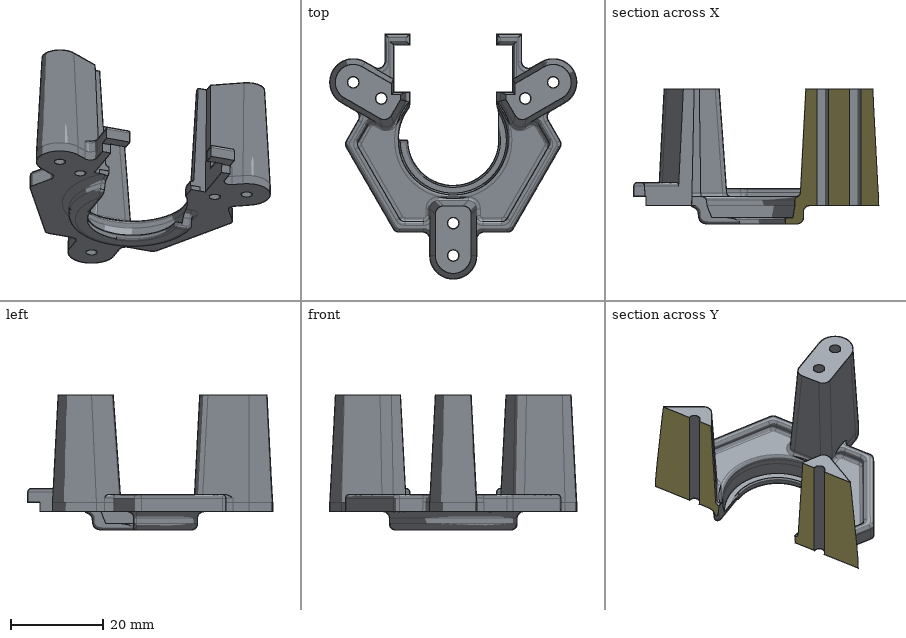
import cadquery as cq
import math

floor_z = 2.0
rim_z = 3.7
post_top_z = 25.26
round_radius = 0.8

post_angles = (30, 150, 270)
hole_distances = (18.0, 25.0)
hole_diameter = 2.4
post_half_width = 5.105
post_inner_end = 13.05
post_corner_radius = 1.8
draft_angle = 3.0

post_side_distance = 19.95
plain_side_distance = 20.85
plate_corner_radius = 1.5
rim_width = 2.26
gusset_radius = 1.5
pocket_corner_radius = 1.4
inner_gusset_radius = 1.4

bowl_bottom_z = -4.0
lip_top_z = -2.6
bowl_outer_radius = 13.85
bowl_inner_radius = 11.9
bowl_base_radius = 11.5
lip_inner_radius = 9.85
bowl_flange_radius = 15.6
bowl_flange_thickness = 1.0
bowl_round_radius = 1.4
bowl_end_radius = 0.6
bowl_tip_radius = 0.55
lip_round_radius = 0.4

slot_half_width = 9.4
slot_low_half_width = 9.9
notch_half_width = 12.85
notch_start_y = 10.4
notch_end_y = 20.5
notch_draft = 1.2

arm_thickness = 1.95
arm_top_z = 5.0
arm_start_y = 12.0
arm_end_y = 22.955
step_y = 20.3
arm_root_x = 19.0
arm_gusset_radius = 1.5

far = 60.0
near_edge = 0.2
flat = 0.01


def box(x_range, y_range, z_range):
    """Axis-aligned box between the given limits."""
    size = [high - low for low, high in (x_range, y_range, z_range)]
    return cq.Workplane("XY").box(*size, centered=False).translate(
        (x_range[0], y_range[0], z_range[0])
    )


def truncated_triangle(inset, z_low, z_high):
    """Six-sided prism whose edges alternate between the two side distances."""
    sides = []
    for index in range(6):
        distance = plain_side_distance if index % 2 else post_side_distance
        sides.append((math.radians(30 + 60 * index), distance - inset))
    points = []
    for index in range(6):
        angle_a, distance_a = sides[index - 1]
        angle_b, distance_b = sides[index]
        turn = math.sin(angle_b - angle_a)
        x = (distance_a * math.sin(angle_b) - distance_b * math.sin(angle_a)) / turn
        y = (distance_b * math.cos(angle_a) - distance_a * math.cos(angle_b)) / turn
        points.append((x, y))
    return cq.Workplane("XY").workplane(offset=z_low).polyline(points).close().extrude(z_high - z_low)


def post_outline(plane):
    """Post section along +X: flat inner end, round outer end."""
    outer_center = hole_distances[1]
    return (
        plane.moveTo(post_inner_end, -post_half_width)
        .lineTo(outer_center, -post_half_width)
        .threePointArc((outer_center + post_half_width, 0), (outer_center, post_half_width))
        .lineTo(post_inner_end, post_half_width)
        .close()
    )


def make_post(angle):
    """Straight foot with a drafted column above, rounded at its inner corners."""
    foot = post_outline(cq.Workplane("XY")).extrude(floor_z)
    column = post_outline(cq.Workplane("XY").workplane(offset=floor_z)).extrude(
        post_top_z - floor_z, taper=draft_angle
    )
    inner_corners = cq.selectors.BoxSelector(
        (post_inner_end - post_corner_radius, -far, 0),
        (post_inner_end + post_corner_radius, far, far),
    )
    column = column.edges("not #Z").edges(inner_corners).fillet(post_corner_radius)
    return foot.union(column).rotate((0, 0, 0), (0, 0, 1), angle)


def lower_part(posts, height):
    """Stretch of the posts up to the given height."""
    return posts.intersect(box((-far, far), (-far, far), (0, height)))


def make_plate():
    """Flat plate with a raised rim along its outer edge, open towards +Y."""
    plate = truncated_triangle(0, 0, rim_z).edges("|Z").fillet(plate_corner_radius)
    pocket = truncated_triangle(rim_width, floor_z, far).edges("|Z").fillet(pocket_corner_radius)
    plate = plate.cut(pocket)
    return plate.cut(box((-far, far), (notch_start_y, far), (0, far)))


def post_clearance():
    """Wedge that trims the column sides facing the slot with the common draft."""
    low = slot_half_width + round_radius
    high = low + (post_top_z - floor_z) * math.tan(math.radians(draft_angle))
    section = [(-low, floor_z), (low, floor_z), (high, post_top_z), (-high, post_top_z)]
    return cq.Workplane("XZ").polyline(section).close().extrude(-far)


def make_arms():
    """Two arms towards +Y whose ends turn inwards as raised hooks."""
    outer_x = notch_half_width + arm_thickness
    arms = box((-outer_x, outer_x), (arm_start_y, arm_end_y), (0, arm_top_z))
    under_hook = box((-far, far), (step_y, far), (0, floor_z))
    between_hooks = box((-slot_half_width, slot_half_width), (0, far), (0, far))
    return arms.cut(under_hook).cut(between_hooks)


def make_notch():
    """Rectangular opening between the arms, widening upwards."""
    growth = 2 * post_top_z * math.tan(math.radians(notch_draft))
    width = 2 * notch_half_width
    length = notch_end_y - notch_start_y
    return (
        cq.Workplane("XY")
        .center(0, (notch_start_y + notch_end_y) / 2)
        .rect(width, length)
        .workplane(offset=post_top_z)
        .rect(width + growth, length + growth)
        .loft()
    )


def edges_where(body, test):
    """Edges of the body that pass the test, as a selection on the body."""
    return body.newObject([edge for edge in body.edges().vals() if test(edge)])


def is_level_at(edge, z):
    """True for an edge lying in the horizontal plane at height z."""
    bounds = edge.BoundingBox()
    return abs(bounds.zmin - z) < flat and abs(bounds.zmax - z) < flat


def is_near(edge, points):
    """True when the edge's middle is close to one of the plan positions."""
    middle = edge.Center()
    return any(math.hypot(middle.x - x, middle.y - y) < near_edge for x, y in points)


def rim_meets_posts(distance):
    """Plan positions where a rim side at this distance meets the post flanks."""
    points = []
    for angle, sides in zip(post_angles, ((-1,), (1,), (-1, 1))):
        turn = math.radians(angle)
        for side in sides:
            offset = side * post_half_width
            x = distance * math.cos(turn) - offset * math.sin(turn)
            y = distance * math.sin(turn) + offset * math.cos(turn)
            points.append((x, y))
    return points


def round_rim_corners(body, distance, radius):
    """Concave vertical rounds between the rim and the posts."""
    points = rim_meets_posts(distance)

    def is_corner(edge):
        bounds = edge.BoundingBox()
        return bounds.zlen > 1 and bounds.zmax < rim_z + flat and is_near(edge, points)

    return edges_where(body, is_corner).fillet(radius)


def round_rim_top(body):
    """Rounds along the top of the rim."""
    return edges_where(body, lambda edge: is_level_at(edge, rim_z)).fillet(round_radius)


def round_pocket_floor(body):
    """Concave rounds where the pocket floor meets the rim and the posts."""
    def is_floor_edge(edge):
        middle = edge.Center()
        inside = all(
            middle.x * math.cos(math.radians(angle)) + middle.y * math.sin(math.radians(angle))
            < post_side_distance - rim_width / 2
            for angle in post_angles
        )
        before_notch = middle.y < notch_start_y - near_edge
        return is_level_at(edge, floor_z) and inside and before_notch

    return edges_where(body, is_floor_edge).fillet(round_radius)


def make_arms_with_roots(posts):
    """Arms blended into the lowest stretch of the posts, rounded along the top."""
    root_zone = box((-arm_root_x, arm_root_x), (arm_start_y, far), (0, arm_top_z))
    roots = posts.intersect(root_zone)
    arms = roots.union(make_arms()).cut(make_notch())
    outer_x = notch_half_width + arm_thickness

    def is_gusset(edge):
        bounds = edge.BoundingBox()
        beside_arm = abs(max(abs(bounds.xmin), abs(bounds.xmax)) - outer_x) < flat
        at_post = arm_start_y < bounds.ymin and bounds.ymax < notch_end_y - arm_gusset_radius
        return beside_arm and at_post

    arms = edges_where(arms, is_gusset).fillet(arm_gusset_radius)
    return edges_where(arms, lambda edge: is_level_at(edge, arm_top_z)).fillet(round_radius)


def make_bowl_blank(is_half):
    """Solid bowl under a thin flange that lies within the plate; a half bowl ends at Y = 0."""
    def is_end(edge):
        bounds = edge.BoundingBox()
        return abs(bounds.ymin) < flat and abs(bounds.ymax) < flat and bounds.zmin < -flat

    blank = (
        cq.Workplane("XY")
        .workplane(offset=bowl_bottom_z)
        .circle(bowl_outer_radius)
        .extrude(-bowl_bottom_z)
    )
    blank = blank.faces("<Z").edges().fillet(bowl_round_radius)
    if is_half:
        blank = blank.cut(box((-far, far), (0, far), (-far, far)))
        blank = edges_where(blank, is_end).fillet(bowl_end_radius)
    blank = blank.union(cq.Workplane("XY").circle(bowl_flange_radius).extrude(bowl_flange_thickness))

    def is_junction(edge):
        bounds = edge.BoundingBox()
        return is_level_at(edge, 0) and max(bounds.xmax, -bounds.ymin) < bowl_outer_radius + flat

    return edges_where(blank, is_junction).fillet(bowl_round_radius)


def make_bowl_cavity():
    """Inside of the bowl: slightly conical wall above a round-edged lip."""
    profile = (
        cq.Workplane("XZ")
        .moveTo(0, bowl_bottom_z)
        .lineTo(lip_inner_radius, bowl_bottom_z)
        .lineTo(lip_inner_radius, lip_top_z - lip_round_radius)
        .tangentArcPoint((lip_round_radius, lip_round_radius))
        .lineTo(bowl_base_radius, lip_top_z)
        .lineTo(bowl_inner_radius, 0)
        .lineTo(bowl_inner_radius, bowl_flange_thickness)
        .lineTo(0, bowl_flange_thickness)
        .close()
    )
    return profile.revolve(360, (0, 0, 0), (0, 1, 0))


def make_left_bowl():
    """Half of the bowl at -X, ending near Y = 0 with a rounded lip corner."""
    bowl = make_bowl_blank(True).cut(box((0, far), (-far, far), (-far, far)))
    bowl = bowl.cut(make_bowl_cavity()).cut(make_slot())

    def is_lip_corner(edge):
        bounds = edge.BoundingBox()
        at_lip = abs(bounds.xmin + lip_inner_radius) < flat and abs(bounds.xmax - bounds.xmin) < flat
        return at_lip and abs(bounds.ymin) < flat and abs(bounds.ymax) < flat

    return edges_where(bowl, is_lip_corner).fillet(lip_round_radius)


def make_right_bowl():
    """Half of the bowl at +X, ending on the side of the slot with a rounded outer edge."""
    bowl = make_bowl_blank(False).cut(box((-far, 0), (-far, far), (-far, far)))
    bowl = bowl.cut(make_bowl_cavity()).cut(make_slot())
    wall_end_y = math.sqrt(bowl_inner_radius**2 - slot_half_width**2)

    def is_outer_tip(edge):
        bounds = edge.BoundingBox()
        on_slot = bounds.xmin > slot_half_width and bounds.xmax < slot_low_half_width + flat
        return on_slot and bounds.ymin > wall_end_y and bounds.zmin < -flat and bounds.zmax < flat

    return edges_where(bowl, is_outer_tip).fillet(bowl_tip_radius)


def make_bowl():
    """Bowl below the plate, missing its -X, +Y quarter and everything past the notch."""
    past_notch = box((-far, far), (notch_start_y, far), (-far, far))
    return make_left_bowl().union(make_right_bowl()).cut(past_notch)


def make_slot():
    """Slot from the axis into the notch; below the pocket floor its sides flare."""
    right_side = [
        (slot_low_half_width, bowl_bottom_z),
        (slot_half_width, floor_z),
        (slot_half_width, post_top_z),
    ]
    left_side = [(-x, z) for x, z in reversed(right_side)]
    return cq.Workplane("XZ").polyline(right_side + left_side).close().extrude(-notch_end_y)


def make_bore():
    """Round opening in the plate with a rounded brim at the pocket floor."""
    brim_radius = bowl_inner_radius + round_radius
    brim_low_z = floor_z - round_radius
    arc_inset = round_radius * math.sqrt(0.5)
    profile = (
        cq.Workplane("XZ")
        .lineTo(bowl_inner_radius, 0)
        .lineTo(bowl_inner_radius, brim_low_z)
        .threePointArc((brim_radius - arc_inset, brim_low_z + arc_inset), (brim_radius, floor_z))
        .lineTo(0, floor_z)
        .close()
    )
    return profile.revolve(360, (0, 0, 0), (0, 1, 0))


def make_posts():
    """Three posts, trimmed along the slot and the notch."""
    posts = cq.Workplane("XY")
    for angle in post_angles:
        posts = posts.union(make_post(angle))
    return posts.cut(post_clearance()).cut(make_notch())


def make_holes():
    """Two through holes in every post."""
    centers = []
    for angle in post_angles:
        turn = math.radians(angle)
        for distance in hole_distances:
            centers.append((distance * math.cos(turn), distance * math.sin(turn)))
    return cq.Workplane("XY").pushPoints(centers).circle(hole_diameter / 2).extrude(post_top_z)


posts = make_posts()
body = make_plate().cut(make_notch()).union(lower_part(posts, rim_z))
body = round_rim_corners(body, post_side_distance, gusset_radius)
body = round_rim_corners(body, post_side_distance - rim_width, inner_gusset_radius)
body = round_rim_top(body)
body = round_pocket_floor(body.union(posts))
body = body.union(make_arms_with_roots(posts))
body = body.cut(make_bore()).cut(make_slot()).union(make_bowl())
result = body.cut(make_holes())